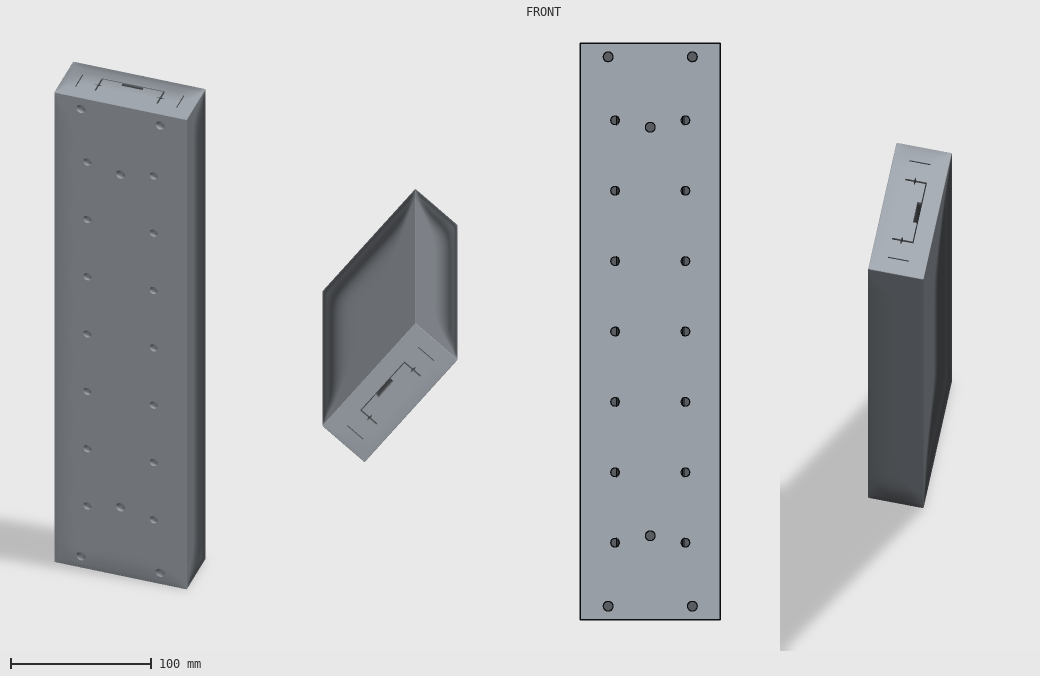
import cadquery as cq

LENGTH = 410.0
WIDTH = 100.0
DEPTH = 40.0
PLATE_THICKNESS = 12.0
FRONT_Y = -DEPTH / 2
JOINT_Y = FRONT_Y + PLATE_THICKNESS
EDGE_CHAMFER = 0.3

TONGUE_WIDTH = 16.0
TONGUE_HEIGHT = 12.0

CHANNEL_WIDTH = 48.0
CHANNEL_DEPTH = 15.5
BAR_SIDE_GAP = 1.2
BAR_TOP_GAP = 1.0
BAR_WIDTH = (CHANNEL_WIDTH - TONGUE_WIDTH) / 2 - BAR_SIDE_GAP
BAR_HEIGHT = CHANNEL_DEPTH - BAR_TOP_GAP

SLIT_SPACING = 76.3
SLIT_WIDTH = 1.0
SLIT_DEPTH = 15.0

GROOVE_SPAN = 6.0
GROOVE_HEIGHT = 2.0
GROOVE_OFFSET = 7.0
GROOVE_X = (CHANNEL_WIDTH - BAR_SIDE_GAP) / 2
GROOVE_Y = JOINT_Y + GROOVE_OFFSET

MOUNTING_HOLE_DIAMETER = 7.0
CORNER_HOLE_SPACING = 60.0
CORNER_HOLE_INSET = 10.0
CENTRE_HOLE_INSET = 60.0
CLAMP_HOLE_DIAMETER = 6.0
CLAMP_HOLE_SPACING = 50.0
CLAMP_HOLE_ROWS = 7

SIDES = (-1, 1)


def lengthwise_box(width, height, centre_x, base_y):
    """Box over the full length, starting at base_y and rising toward +Y."""
    return cq.Workplane("XY").box(width, height, LENGTH).translate((centre_x, base_y + height / 2, 0))


def groove_cutter(side):
    """Flat diamond prism that cuts both V grooves on one side of the channel."""
    centre_x = side * GROOVE_X
    diamond = [
        (centre_x - GROOVE_SPAN / 2, GROOVE_Y),
        (centre_x, GROOVE_Y - GROOVE_HEIGHT / 2),
        (centre_x + GROOVE_SPAN / 2, GROOVE_Y),
        (centre_x, GROOVE_Y + GROOVE_HEIGHT / 2),
    ]
    return cq.Workplane("XY").polyline(diamond).close().extrude(LENGTH / 2, both=True)


def front_hole_cutters(diameter, centres):
    """Cylinders from the front face, long enough to pass the plate and its tongue."""
    front = cq.Workplane("XZ", origin=(0, FRONT_Y, 0))
    return front.pushPoints(centres).circle(diameter / 2).extrude(-(PLATE_THICKNESS + TONGUE_HEIGHT))


def mounting_hole_centres():
    corner_z = LENGTH / 2 - CORNER_HOLE_INSET
    centre_z = LENGTH / 2 - CENTRE_HOLE_INSET
    corners = [(x_side * CORNER_HOLE_SPACING / 2, z_side * corner_z) for x_side in SIDES for z_side in SIDES]
    middle = [(0, z_side * centre_z) for z_side in SIDES]
    return corners + middle


def clamp_hole_centres():
    middle_row = (CLAMP_HOLE_ROWS - 1) / 2
    return [
        (side * CLAMP_HOLE_SPACING / 2, (row - middle_row) * CLAMP_HOLE_SPACING)
        for side in SIDES
        for row in range(CLAMP_HOLE_ROWS)
    ]


def make_plate():
    plate = lengthwise_box(WIDTH, PLATE_THICKNESS, 0, FRONT_Y)
    plate = plate.edges("not >Y").chamfer(EDGE_CHAMFER)
    plate = plate.union(lengthwise_box(TONGUE_WIDTH, TONGUE_HEIGHT, 0, JOINT_Y))
    plate = plate.cut(front_hole_cutters(MOUNTING_HOLE_DIAMETER, mounting_hole_centres()))
    return plate.cut(front_hole_cutters(CLAMP_HOLE_DIAMETER, clamp_hole_centres()))


def make_housing():
    housing = lengthwise_box(WIDTH, DEPTH - PLATE_THICKNESS, 0, JOINT_Y)
    housing = housing.edges("not <Y").chamfer(EDGE_CHAMFER)
    housing = housing.cut(lengthwise_box(CHANNEL_WIDTH, CHANNEL_DEPTH, 0, JOINT_Y))
    for side in SIDES:
        housing = housing.cut(lengthwise_box(SLIT_WIDTH, SLIT_DEPTH, side * SLIT_SPACING / 2, JOINT_Y))
        housing = housing.cut(groove_cutter(side))
    return housing


def make_bar(side):
    """Bar between the tongue and the channel wall on one side."""
    centre_x = side * (TONGUE_WIDTH + BAR_WIDTH) / 2
    bar = lengthwise_box(BAR_WIDTH, BAR_HEIGHT, centre_x, JOINT_Y)
    return bar.cut(groove_cutter(side))


plate = make_plate().solids().val()
housing = make_housing().solids().val()
bars = [make_bar(side).solids().val() for side in SIDES]

result = cq.Compound.makeCompound([plate, housing, *bars])